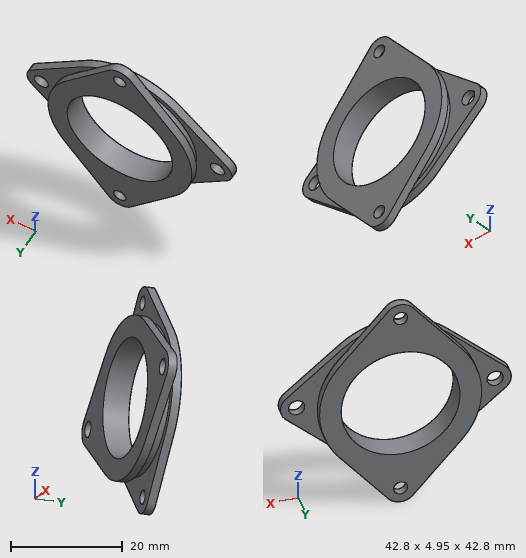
import cadquery as cq
import math

overall_span = 42.75
layer_thickness = 1.65
flange_radius = 15.0
spacer_radius = 14.0
bore_radius = 11.0
ear_radius = 3.0
side_hole_radius = 1.5
upright_hole_radius = 1.3

ear_offset = overall_span / 2 - ear_radius
total_depth = 3 * layer_thickness

tangent_cos = (flange_radius - ear_radius) / ear_offset
tangent_sin = math.sqrt(1 - tangent_cos**2)


def layer_plane(y_start):
    """Plane with local axes X and Z, extruding toward +Y."""
    return cq.Plane(origin=(0, y_start, 0), xDir=(1, 0, 0), normal=(0, 1, 0))


def eared_flange(y_start, hole_radius):
    """Disc with two rounded ears along X, joined by tangent straight edges."""
    ear_x = ear_offset + ear_radius * tangent_cos
    ear_z = ear_radius * tangent_sin
    disc_x = flange_radius * tangent_cos
    disc_z = flange_radius * tangent_sin
    plate = (
        cq.Workplane(layer_plane(y_start))
        .moveTo(ear_x, -ear_z)
        .threePointArc((overall_span / 2, 0), (ear_x, ear_z))
        .lineTo(disc_x, disc_z)
        .threePointArc((0, flange_radius), (-disc_x, disc_z))
        .lineTo(-ear_x, ear_z)
        .threePointArc((-overall_span / 2, 0), (-ear_x, -ear_z))
        .lineTo(-disc_x, -disc_z)
        .threePointArc((0, -flange_radius), (disc_x, -disc_z))
        .close()
        .extrude(layer_thickness)
    )
    holes = (
        cq.Workplane(layer_plane(y_start))
        .pushPoints([(-ear_offset, 0), (ear_offset, 0)])
        .circle(hole_radius)
        .extrude(layer_thickness)
    )
    return plate.cut(holes)


front_flange = eared_flange(0, side_hole_radius)
rear_flange = eared_flange(2 * layer_thickness, upright_hole_radius).rotate((0, 0, 0), (0, 1, 0), 90)

spacer = cq.Workplane(layer_plane(layer_thickness)).circle(spacer_radius).extrude(layer_thickness)

bore = cq.Workplane(layer_plane(0)).circle(bore_radius).extrude(total_depth)

result = front_flange.union(spacer).union(rear_flange).cut(bore)